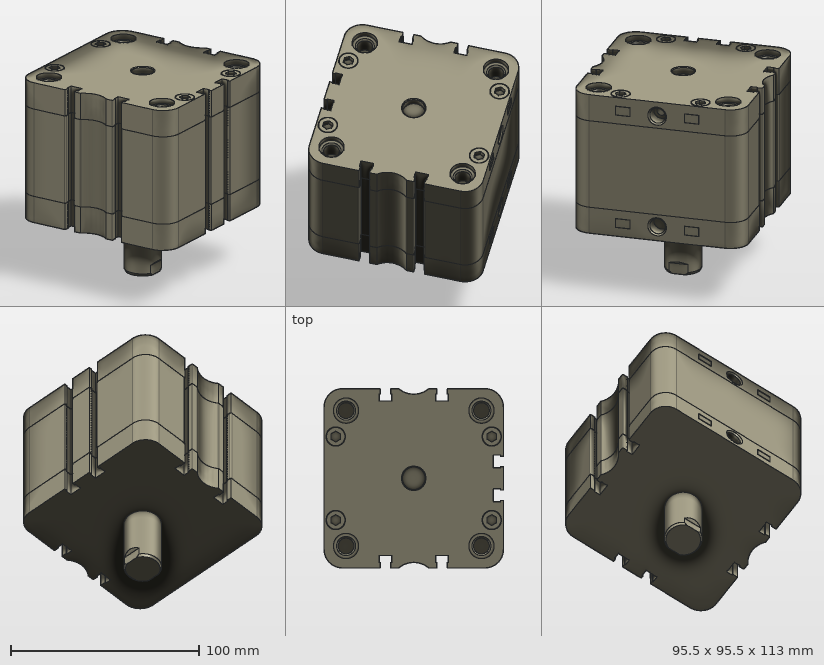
import cadquery as cq
import math


side = 95.5
half_side = side / 2
corner_radius = 9.95
total_height = 113.0
housing_height = 79.2
cap_height = 14.9
barrel_height = housing_height - 2 * cap_height
cap_draft = 0.1

groove_radius = 12.5
groove_depth = 3.0
groove_axis_y = half_side + groove_radius - groove_depth
barrel_groove_edge_round = 0.9

y_slot_offset = 15.0
y_slot_depth = 6.6
y_slot_lip = 3.0
x_slot_offset = 9.0
x_slot_depth = 5.4
x_slot_lip = 1.7
barrel_slot_mouth = 5.4
barrel_slot_width = 6.6
cap_slot_mouth = 5.8
cap_slot_width = 7.0
barrel_slot_edge_round = 0.8
slot_inner_edge_round = 0.3

mount_offset = 36.0
mount_counterbore_diameter = 13.5
mount_counterbore_depth = 3.0
mount_countersink_diameter = 10.11
mount_hole_diameter = 8.38
mount_hole_depth = 12.0

screw_x = 41.5
screw_y = 22.2
screw_bore_diameter = 10.3
screw_head_diameter = 9.8
screw_gap_depth = 2.0
hex_across_flats = 5.0
hex_depth = 2.8

centre_hole_diameter = 12.0
centre_hole_chamfer = 0.5
centre_hole_depth = 4.0

port_height = 8.0
port_diameter = 8.57
port_mouth_diameter = 10.3
port_depth = 8.0
port_bleed_diameter = 5.0
port_bleed_depth = 14.0

label_width = 8.0
label_height = 5.0
label_offset_y = 19.1
label_inset_z = 7.5
label_floor_x = 47.5

rod_diameter = 20.0
rod_radius = rod_diameter / 2
rod_projection = total_height - housing_height
rod_across_flats = 17.0
rod_flat_length = 6.0
rod_end_chamfer_length = 1.5
rod_end_chamfer_depth = 0.8


def t_slot(mouth, width, lip, depth, height):
    """Cutter for a T-slot opening toward +Y, with its mouth on the plane Y = 0."""
    neck = cq.Workplane("XY").box(mouth, 2 * depth, height, centered=(True, True, False))
    chamber = (
        cq.Workplane("XY")
        .box(width, depth - lip, height, centered=(True, False, False))
        .translate((0, -depth, 0))
    )
    return neck.union(chamber)


def cut_sensor_slots(body, mouth, width, height):
    """Cut two slots in each Y face and two in the +X face."""
    y_slot = t_slot(mouth, width, y_slot_lip, y_slot_depth, height)
    x_slot = t_slot(mouth, width, x_slot_lip, x_slot_depth, height)
    x_slot = x_slot.rotate((0, 0, 0), (0, 0, 1), -90)
    for sign in (-1, 1):
        back_slot = y_slot.translate((sign * y_slot_offset, half_side, 0))
        body = body.cut(back_slot).cut(back_slot.mirror("XZ"))
        body = body.cut(x_slot.translate((half_side, sign * x_slot_offset, 0)))
    return body


def round_slot_edges(body, edge_x, height, radius):
    """Round the mouth edges at X = +/-edge_x of the slots in both Y faces."""
    for x in (-edge_x, edge_x):
        for y in (-half_side, half_side):
            mouth_edge = cq.selectors.NearestToPointSelector((x, y, height / 2))
            body = body.edges(mouth_edge).fillet(radius)
    return body


def make_barrel():
    """Straight profiled barrel between the caps."""
    body = cq.Workplane("XY").rect(side, side).extrude(barrel_height)
    body = body.edges("|Z").fillet(corner_radius)
    for sign in (-1, 1):
        groove = cq.Workplane("XY").center(0, sign * groove_axis_y).circle(groove_radius)
        body = body.cut(groove.extrude(barrel_height))
    groove_half_width = math.sqrt(groove_radius**2 - (groove_radius - groove_depth) ** 2)
    edge_box = cq.selectors.BoxSelector(
        (-groove_half_width - 1, -side, -1), (groove_half_width + 1, side, barrel_height + 1)
    )
    body = body.edges("|Z").edges(edge_box).fillet(barrel_groove_edge_round)
    body = cut_sensor_slots(body, barrel_slot_mouth, barrel_slot_width, barrel_height)
    outer_edge_x = y_slot_offset + barrel_slot_mouth / 2
    inner_edge_x = y_slot_offset - barrel_slot_mouth / 2
    body = round_slot_edges(body, outer_edge_x, barrel_height, barrel_slot_edge_round)
    body = round_slot_edges(body, inner_edge_x, barrel_height, slot_inner_edge_round)
    return body.translate((0, 0, cap_height))


def make_cap_blank():
    """Drafted cap with its large face on Z = 0 and its outer face at Z = cap_height."""
    outline = cq.Sketch().rect(side, side).vertices().fillet(corner_radius)
    body = cq.Workplane("XY").placeSketch(outline).extrude(cap_height, taper=cap_draft)
    for sign in (-1, 1):
        groove = cq.Workplane("XY").center(0, sign * groove_axis_y).circle(groove_radius)
        body = body.cut(groove.extrude(cap_height, taper=-cap_draft))
    body = cut_sensor_slots(body, cap_slot_mouth, cap_slot_width, cap_height)
    inner_edge_x = y_slot_offset - cap_slot_mouth / 2
    return round_slot_edges(body, inner_edge_x, cap_height, slot_inner_edge_round)


def cut_port(body, height, bleed_diameter=None):
    """Chamfered blind port on the -X face, with an optional narrower bore behind it."""
    mouth_depth = (port_mouth_diameter - port_diameter) / 2
    face_x = -half_side + (cap_height - port_height) * math.tan(math.radians(cap_draft))
    start = cq.Workplane("YZ", origin=(-half_side - 1, 0, height))
    body = body.cut(start.circle(port_diameter / 2).extrude(port_depth + 1))
    cone = cq.Solid.makeCone(
        port_mouth_diameter / 2 + 1, port_diameter / 2, mouth_depth + 1,
        cq.Vector(face_x - 1, 0, height), cq.Vector(1, 0, 0),
    )
    body = body.cut(cq.Workplane(cone))
    if bleed_diameter:
        body = body.cut(start.circle(bleed_diameter / 2).extrude(port_bleed_depth + 1))
    return body


def cut_labels(body, height):
    """Shallow rectangular label recesses on both sides of a port."""
    labels = (
        cq.Workplane("YZ", origin=(-label_floor_x, 0, height))
        .pushPoints([(-label_offset_y, 0), (label_offset_y, 0)])
        .rect(label_width, label_height)
        .extrude(-label_width)
    )
    return body.cut(labels)


def make_upper_cap():
    """Upper cap with mounting holes, screw heads, centring hole, port and labels."""
    top = housing_height
    body = make_cap_blank().translate((0, 0, top - cap_height))
    face = cq.Workplane("XY", origin=(0, 0, top))

    mounts = face.rect(2 * mount_offset, 2 * mount_offset, forConstruction=True).vertices()
    body = body.cut(mounts.circle(mount_counterbore_diameter / 2).extrude(-mount_counterbore_depth))
    body = body.cut(mounts.circle(mount_hole_diameter / 2).extrude(-mount_hole_depth))
    countersink_depth = (mount_countersink_diameter - mount_hole_diameter) / 2
    countersinks = (
        cq.Workplane("XY", origin=(0, 0, top - mount_counterbore_depth))
        .rect(2 * mount_offset, 2 * mount_offset, forConstruction=True)
        .vertices()
        .circle(mount_countersink_diameter / 2)
        .extrude(-countersink_depth, taper=45)
    )
    body = body.cut(countersinks)

    screws = face.rect(2 * screw_x, 2 * screw_y, forConstruction=True).vertices()
    gaps = screws.circle(screw_bore_diameter / 2).circle(screw_head_diameter / 2)
    body = body.cut(gaps.extrude(-screw_gap_depth))
    hex_across_corners = hex_across_flats / math.cos(math.pi / 6)
    sockets = cq.Workplane("XY").polygon(6, hex_across_corners).extrude(-hex_depth)
    sockets = sockets.rotate((0, 0, 0), (0, 0, 1), 90)
    for x in (-screw_x, screw_x):
        for y in (-screw_y, screw_y):
            body = body.cut(sockets.translate((x, y, top)))

    body = body.cut(face.circle(centre_hole_diameter / 2).extrude(-centre_hole_depth))
    hole_mouth = face.circle(centre_hole_diameter / 2 + centre_hole_chamfer)
    body = body.cut(hole_mouth.extrude(-centre_hole_chamfer, taper=45))

    body = cut_port(body, top - port_height, port_bleed_diameter)
    return cut_labels(body, top - label_inset_z)


def make_lower_cap():
    """Lower cap with the rod bore, port and labels."""
    body = make_cap_blank().mirror("XY").translate((0, 0, cap_height))
    body = body.cut(cq.Workplane("XY").circle(rod_radius).extrude(cap_height))
    body = cut_port(body, port_height)
    return cut_labels(body, label_inset_z)


def make_rod():
    """Piston rod with a chamfered end and two wrench flats facing -X and +X."""
    rod_length = rod_projection + cap_height
    body = cq.Workplane("XY", origin=(0, 0, -rod_projection)).circle(rod_radius).extrude(rod_length)
    body = body.faces("<Z").edges().chamfer(rod_end_chamfer_length, rod_end_chamfer_depth)
    flat_x = rod_across_flats / 2
    flat_top = -rod_projection + rod_flat_length
    ramp = rod_radius - flat_x
    flat = (
        cq.Workplane("XZ")
        .moveTo(flat_x, -rod_projection)
        .lineTo(flat_x, flat_top)
        .lineTo(rod_radius, flat_top + ramp)
        .lineTo(rod_radius, -rod_projection)
        .close()
        .extrude(rod_radius, both=True)
    )
    return body.cut(flat).cut(flat.mirror("YZ"))


barrel = make_barrel()
upper_cap = make_upper_cap()
lower_cap = make_lower_cap()
rod = make_rod()

result = cq.Compound.makeCompound([barrel.val(), upper_cap.val(), lower_cap.val(), rod.val()])